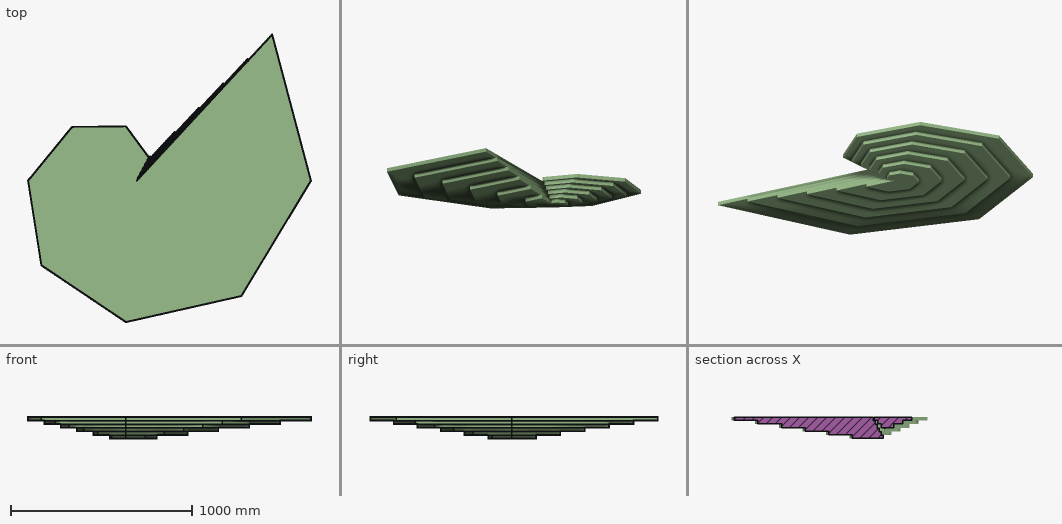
import cadquery as cq
import math

overall_length = 1586.0
layer_count = 6
corner_count = 10
corner_angle = 45.0

first_radius_in_steps = 0.5
lowest_corner = 6
last_corner = corner_count - 1
tip_height_factor = math.sin(math.radians(last_corner * corner_angle))
length_in_steps = (
    first_radius_in_steps + lowest_corner
    + (first_radius_in_steps + last_corner) * tip_height_factor
)
radius_step = overall_length / length_in_steps
first_radius = first_radius_in_steps * radius_step

stack_height = radius_step
layer_thickness = stack_height / layer_count


def spiral_corner(index, scale):
    """Return the XY position of one spiral corner at the given scale."""
    radius = scale * (first_radius + index * radius_step)
    angle = math.radians(index * corner_angle)
    return (radius * math.cos(angle), radius * math.sin(angle))


def spiral_plate(level):
    """Make the plate at a level counted from 1 at the bottom."""
    scale = level / layer_count
    corners = [spiral_corner(index, scale) for index in range(corner_count)]
    base_height = (level - 1) * layer_thickness
    return (
        cq.Workplane("XY")
        .workplane(offset=base_height)
        .polyline(corners)
        .close()
        .extrude(layer_thickness)
    )


result = spiral_plate(1)
for level in range(2, layer_count + 1):
    result = result.union(spiral_plate(level))